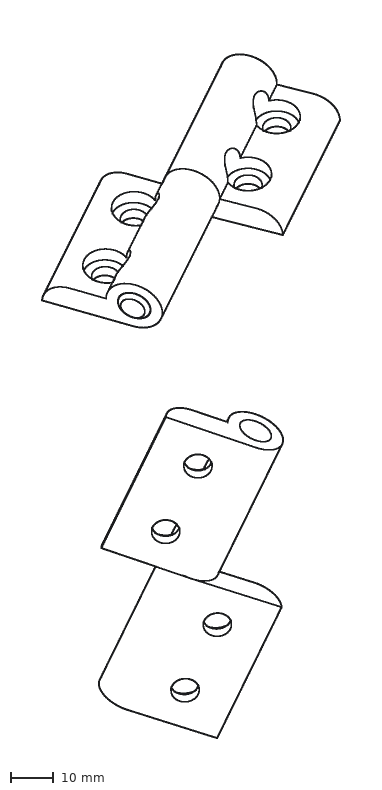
import cadquery as cq


LEAF_LENGTH = 40.0
BARREL_RADIUS = 7.0
PLATE_THICKNESS = 6.7
PLATE_REACH = 22.7
OPENING_ANGLE = 2.25

PLATE_BOTTOM = -BARREL_RADIUS
PLATE_TOP = PLATE_BOTTOM + PLATE_THICKNESS
EDGE_RADIUS = PLATE_THICKNESS
ROUND_START = PLATE_REACH - EDGE_RADIUS

SCREW_HOLE_DIAMETER = 6.6
COUNTERBORE_DIAMETER = 11.0
COUNTERBORE_DEPTH = 3.7
SCREW_SPACING = LEAF_LENGTH / 2
SCREW_X = ROUND_START - COUNTERBORE_DIAMETER / 2
COUNTERBORE_FLOOR = PLATE_TOP - COUNTERBORE_DEPTH

PIN_DIAMETER = 8.0
PIVOT_BORE_DIAMETER = 8.2
PIN_TIP_DIAMETER = 6.0
PIN_PROTRUSION = 1.0
PIN_FRONT = -LEAF_LENGTH - PIN_PROTRUSION
PIN_BACK = LEAF_LENGTH


def rod(diameter, start_y, end_y):
    """Round bar on the pin axis between two Y positions."""
    return (
        cq.Workplane("XZ", origin=(0, start_y, 0))
        .circle(diameter / 2)
        .extrude(start_y - end_y)
    )


def make_pin():
    """Straight pin whose protruding front end is tapered."""
    taper_width = (PIN_DIAMETER - PIN_TIP_DIAMETER) / 2
    return rod(PIN_DIAMETER, PIN_FRONT, PIN_BACK).faces("<Y").chamfer(PIN_PROTRUSION, taper_width)


def make_leaf():
    """Leaf lying flat, with its barrel at Y = 0 to LEAF_LENGTH and its plate toward +X."""
    round_middle = EDGE_RADIUS * 0.5 ** 0.5
    plate = (
        cq.Workplane("XZ")
        .moveTo(0, PLATE_BOTTOM)
        .lineTo(PLATE_REACH, PLATE_BOTTOM)
        .threePointArc(
            (ROUND_START + round_middle, PLATE_BOTTOM + round_middle),
            (ROUND_START, PLATE_TOP),
        )
        .lineTo(0, PLATE_TOP)
        .close()
        .extrude(-LEAF_LENGTH)
    )
    leaf = plate.union(rod(2 * BARREL_RADIUS, 0, LEAF_LENGTH))
    return leaf.cut(make_screw_cutters())


def make_screw_cutters():
    """Through holes with counterbores that also clear the side of the barrel."""
    screw_points = [
        (SCREW_X, LEAF_LENGTH / 2 + side * SCREW_SPACING / 2)
        for side in (-1, 1)
    ]
    holes = (
        cq.Workplane("XY", origin=(0, 0, PLATE_BOTTOM - PLATE_THICKNESS))
        .pushPoints(screw_points)
        .circle(SCREW_HOLE_DIAMETER / 2)
        .extrude(2 * PLATE_THICKNESS)
    )
    counterbores = (
        cq.Workplane("XY", origin=(0, 0, COUNTERBORE_FLOOR))
        .pushPoints(screw_points)
        .circle(COUNTERBORE_DIAMETER / 2)
        .extrude(2 * BARREL_RADIUS)
    )
    return holes.union(counterbores)


pin = make_pin()

back_leaf = make_leaf().cut(rod(PIN_DIAMETER, 0, LEAF_LENGTH))

front_leaf = (
    make_leaf()
    .rotate((0, 0, 0), (0, 0, 1), 180)
    .rotate((0, 0, 0), (0, 1, 0), OPENING_ANGLE)
    .cut(rod(PIVOT_BORE_DIAMETER, -LEAF_LENGTH, 0))
)

result = cq.Compound.makeCompound([back_leaf.val(), front_leaf.val(), pin.val()])